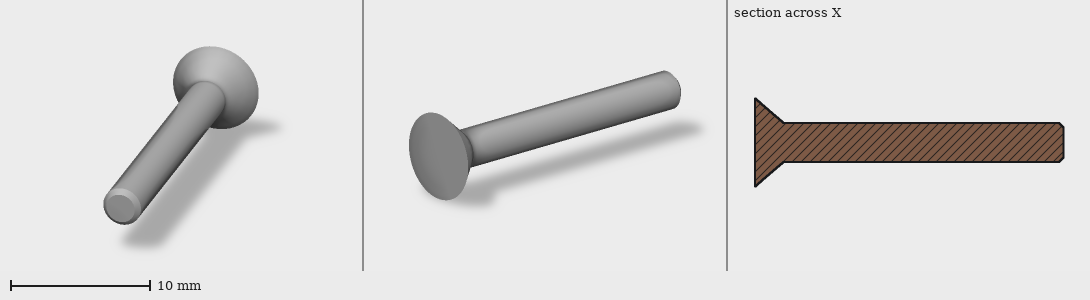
import cadquery as cq

total_length = 22.23
head_diameter = 6.47
head_height = 2.1
shank_diameter = 2.85
tip_chamfer = 0.35

head_radius = head_diameter / 2
shank_radius = shank_diameter / 2
tip_radius = shank_radius - tip_chamfer
head_base_y = total_length - head_height

half_profile = [
    (0, 0),
    (tip_radius, 0),
    (shank_radius, tip_chamfer),
    (shank_radius, head_base_y),
    (head_radius, total_length),
    (0, total_length),
]

result = (
    cq.Workplane("XY")
    .polyline(half_profile)
    .close()
    .revolve(360, (0, 0, 0), (0, 1, 0))
)